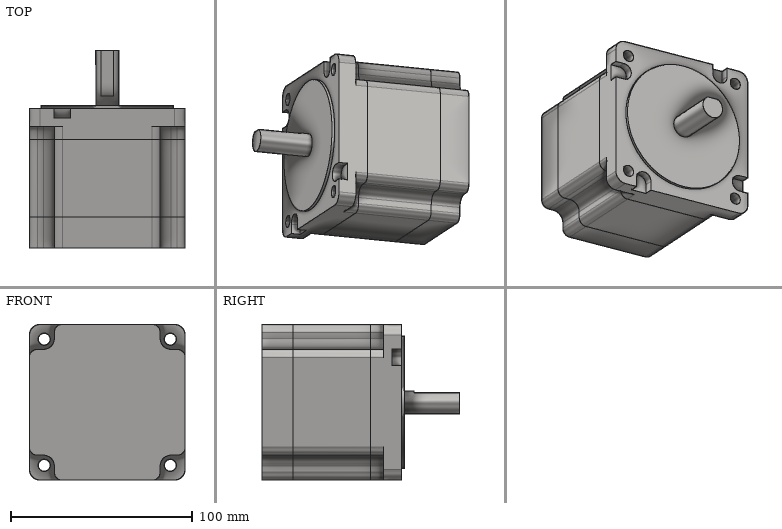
import cadquery as cq
import math


width = 86.0
half_width = width / 2
length = 77.0
cap_length = 17.0
front_length = 17.0
flange_thickness = 10.0
flange_corner_radius = 6.0

relief_size = 13.8
relief_inner_radius = 6.0
relief_edge_radius = 4.4

hole_diameter = 6.5
hole_spacing = 69.6

pilot_diameter = 73.0
pilot_height = 1.6
shaft_diameter = 12.7
shaft_length = 32.0
flat_length = 25.0
flat_depth = 1.0

slot_width = 9.3
slot_depth = 5.2
slot_reach = 10.0
slot_offset = 24.85

rear_y = -length
cap_joint_y = rear_y + cap_length
front_joint_y = -front_length


def section(y):
    """Sketch plane facing +Y at y, with its local x along +X and local y along -Z."""
    return cq.Workplane(cq.Plane(origin=(0, y, 0), xDir=(1, 0, 0), normal=(0, 1, 0)))


def four_around(solid):
    """Copies of a solid turned in quarter turns about the Y axis."""
    return [solid.rotate((0, 0, 0), (0, 1, 0), 90 * turn) for turn in range(4)]


def square_bar(y_start, y_end):
    return section(y_start).rect(width, width).extrude(y_end - y_start)


def corner_relief(y_start, y_end):
    """Corner removed from the body: a rounded inner corner and rounded outer edges."""
    wall = half_width - relief_size
    edge_start = wall - relief_edge_radius
    edge_end = half_width - relief_edge_radius
    edge_bulge = relief_edge_radius * math.sqrt(0.5)
    inner_centre = wall + relief_inner_radius
    inner_middle = inner_centre - relief_inner_radius * math.sqrt(0.5)
    return (
        section(y_start)
        .moveTo(half_width, half_width)
        .lineTo(edge_start, half_width)
        .threePointArc((edge_start + edge_bulge, edge_end + edge_bulge), (wall, edge_end))
        .lineTo(wall, inner_centre)
        .threePointArc((inner_middle, inner_middle), (inner_centre, wall))
        .lineTo(edge_end, wall)
        .threePointArc((edge_end + edge_bulge, edge_start + edge_bulge), (half_width, edge_start))
        .close()
        .extrude(y_end - y_start)
    )


def notched_bar(y_start, y_end):
    """Square bar with all four corners relieved."""
    bar = square_bar(y_start, y_end)
    for relief in four_around(corner_relief(y_start, y_end)):
        bar = bar.cut(relief)
    return bar


def side_slot():
    """Slot open to the +Z side near -X, with a half-round inner end."""
    end_radius = slot_width / 2
    end_z = half_width - slot_reach + end_radius
    straight_length = half_width - end_z
    straight = (
        section(-slot_depth)
        .center(-slot_offset, -(end_z + straight_length / 2))
        .rect(slot_width, straight_length)
        .extrude(slot_depth)
    )
    round_end = (
        section(-slot_depth)
        .center(-slot_offset, -end_z)
        .circle(end_radius)
        .extrude(slot_depth)
    )
    return straight.union(round_end)


def make_flange():
    flange = square_bar(-flange_thickness, 0).edges("|Y").fillet(flange_corner_radius)
    holes = (
        section(-flange_thickness)
        .rect(hole_spacing, hole_spacing, forConstruction=True)
        .vertices()
        .circle(hole_diameter / 2)
        .extrude(flange_thickness)
    )
    flange = flange.cut(holes)
    for slot in four_around(side_slot()):
        flange = flange.cut(slot)
    return flange


def make_shaft():
    """Round shaft with a flat on its +Z side at the free end."""
    shaft = section(0).circle(shaft_diameter / 2).extrude(shaft_length)
    flat_z = shaft_diameter / 2 - flat_depth
    flat = (
        section(shaft_length - flat_length)
        .center(0, -(flat_z + flat_depth / 2))
        .rect(shaft_diameter, flat_depth)
        .extrude(flat_length)
    )
    return shaft.cut(flat)


def make_front_housing():
    """Flange, notched spigot behind it, pilot boss and shaft as one solid."""
    spigot = notched_bar(front_joint_y, -flange_thickness)
    pilot = section(0).circle(pilot_diameter / 2).extrude(pilot_height)
    return make_flange().union(spigot).union(pilot).union(make_shaft())


rear_cap = notched_bar(rear_y, cap_joint_y)
stator = notched_bar(cap_joint_y, front_joint_y)
front_housing = make_front_housing()

result = cq.Compound.makeCompound([rear_cap.val(), stator.val(), front_housing.val()])